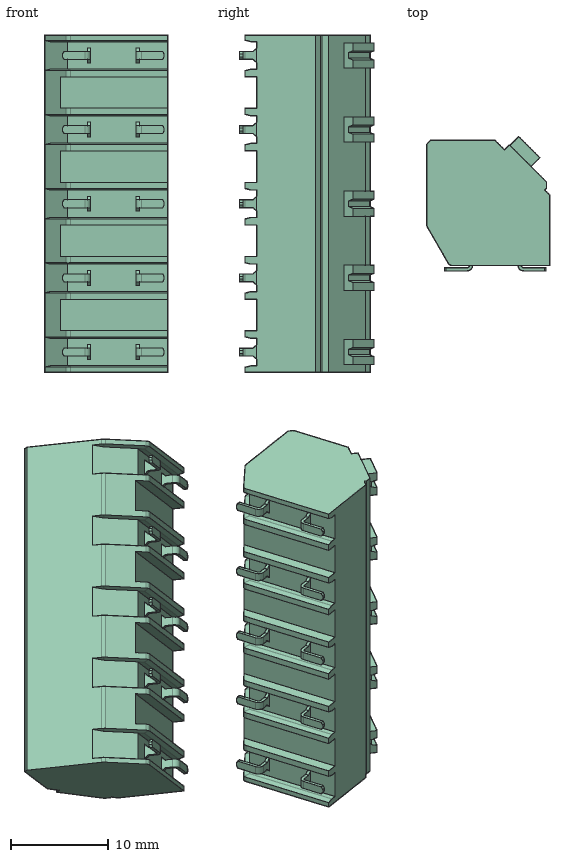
import cadquery as cq
import math

width = 12.7
depth = 12.9
height = 34.68
back_chamfer_x = 0.4
back_chamfer_y = 0.4
slant_angle = math.radians(60)
slant_start_y = 4.1
slant_end_x = slant_start_y / math.tan(slant_angle)
side_corner_radius = 0.85
mounting_corner_radius = 0.52

face_sum = 20.95
back_edge_x = 7.05
v_notch_x = 8.0
v_notch_y = depth - (v_notch_x - back_edge_x)
face_start_x = (face_sum + v_notch_x - v_notch_y) / 2
lip_x = 12.35
lip_bottom_y = 7.95
lip_undercut = 0.17

pole_count = 5
pole_pitch = 7.63
first_pole_z = (height - pole_pitch * (pole_count - 1)) / 2

floor_y = 1.2
pocket_top_y = 5.3
pocket_corner_x = (pocket_top_y - floor_y) / math.tan(slant_angle)
pocket_height = 3.12
lead_in = 0.155
lead_in_depth = (pocket_top_y - slant_start_y) * math.cos(slant_angle)
slot_height = 3.23
margin = 0.7

pin_thickness = 0.35
pin_width = 0.83
pin_root_width = 1.53
pin_root_taper = 0.38
pin_bottom_y = -0.55
pin_bend_radius = 0.25
pin_center_x = 7.07
pin_inner_offset = 2.32
pin_tip_offset = 5.25
pin_tip_chamfer_x = 0.17
pin_tip_chamfer_z = 0.28
pin_embed = 0.35

button_start_x = 8.55
button_length = 3.1
button_rise = 1.3
button_height = 2.6
button_embed = 0.35
groove_mouth = 0.95
groove_floor = 0.55
groove_depth = 0.62


def make_housing():
    outline = [
        (0, slant_start_y),
        (slant_end_x, 0),
        (width, 0),
        (width, lip_bottom_y - 2 * lip_undercut - (width - lip_x)),
        (lip_x - lip_undercut, lip_bottom_y - lip_undercut),
        (lip_x, lip_bottom_y),
        (lip_x, face_sum - lip_x),
        (face_start_x, face_sum - face_start_x),
        (v_notch_x, v_notch_y),
        (back_edge_x, depth),
        (back_chamfer_x, depth),
        (0, depth - back_chamfer_y),
    ]
    body = cq.Workplane("XY").polyline(outline).close().extrude(height)
    body = body.edges(cq.NearestToPointSelector((0, slant_start_y, height / 2))).fillet(side_corner_radius)
    return body.edges(cq.NearestToPointSelector((slant_end_x, 0, height / 2))).fillet(mounting_corner_radius)


def make_pocket():
    """Cutter for one pin pocket, centred on Z = 0, with bevelled mouths at both ends."""
    right = width + margin
    section = [
        (0, pocket_top_y),
        (pocket_corner_x, floor_y),
        (right, floor_y),
        (right, -margin),
        (-margin, -margin),
        (-margin, pocket_top_y),
    ]
    mouth = [(0, pocket_top_y), (0, slant_start_y), (slant_end_x, 0), (right, 0), (right, pocket_top_y)]
    throat = [
        (lead_in_depth, pocket_top_y),
        (lead_in_depth, pocket_top_y - lead_in_depth * math.tan(slant_angle)),
        ((pocket_top_y - lead_in_depth) / math.tan(slant_angle), lead_in_depth),
        (right, lead_in_depth),
        (right, pocket_top_y),
    ]
    half_height = pocket_height / 2
    pocket = cq.Workplane("XY").workplane(offset=-half_height).polyline(section).close().extrude(pocket_height)
    cheek = (
        cq.Workplane("XY")
        .workplane(offset=-half_height)
        .polyline(mouth)
        .close()
        .workplane(offset=lead_in)
        .polyline(throat)
        .close()
        .loft(ruled=True)
    )
    return pocket.cut(cheek).cut(cheek.mirror("XY"))


def make_slot():
    """Cutter for the relief slot between two poles, centred on Z = 0."""
    return cq.Workplane("XY").box(
        width + 2 * margin, floor_y + margin, slot_height, centered=(False, False, True)
    ).translate((-margin, -margin, 0))


def make_pin():
    """Right-hand pin of a pole at Z = 0: a flared root, a right-angle bend and a foot towards +X."""
    inner_x = pin_center_x + pin_inner_offset
    tip_x = pin_center_x + pin_tip_offset
    outer_radius = pin_bend_radius + pin_thickness
    bend_x = inner_x + outer_radius
    bend_y = pin_bottom_y + outer_radius
    root_y = floor_y + pin_embed
    diagonal = math.sqrt(0.5)
    profile = (
        cq.Workplane("XY")
        .moveTo(inner_x, root_y)
        .lineTo(inner_x, bend_y)
        .threePointArc(
            (bend_x - outer_radius * diagonal, bend_y - outer_radius * diagonal),
            (bend_x, pin_bottom_y),
        )
        .lineTo(tip_x, pin_bottom_y)
        .lineTo(tip_x, pin_bottom_y + pin_thickness)
        .lineTo(bend_x, pin_bottom_y + pin_thickness)
        .threePointArc(
            (bend_x - pin_bend_radius * diagonal, bend_y - pin_bend_radius * diagonal),
            (inner_x + pin_thickness, bend_y),
        )
        .lineTo(inner_x + pin_thickness, root_y)
        .close()
    )
    strip = profile.extrude(pin_width / 2, both=True)

    half = pin_width / 2
    tip_half = half - pin_tip_chamfer_z
    plan = [
        (inner_x, -half),
        (tip_x - pin_tip_chamfer_x, -half),
        (tip_x, -tip_half),
        (tip_x, tip_half),
        (tip_x - pin_tip_chamfer_x, half),
        (inner_x, half),
    ]
    pin_length = root_y - pin_bottom_y
    envelope = cq.Workplane("XZ", origin=(0, root_y, 0)).polyline(plan).close().extrude(pin_length)

    root_half = pin_root_width / 2
    flare = [
        (root_y, -root_half),
        (floor_y, -root_half),
        (floor_y - pin_root_taper, -half),
        (floor_y - pin_root_taper, half),
        (floor_y, root_half),
        (root_y, root_half),
    ]
    root = cq.Workplane("YZ", origin=(inner_x, 0, 0)).polyline(flare).close().extrude(pin_thickness)
    return strip.intersect(envelope).union(root)


def make_button():
    """Push button of a pole at Z = 0, with a tapered groove along its top."""
    face = cq.Plane(
        origin=(button_start_x, face_sum - button_start_x, 0), xDir=(1, -1, 0), normal=(1, 1, 0)
    )
    block = (
        cq.Workplane(face)
        .workplane(offset=-button_embed)
        .center(button_length / 2, 0)
        .rect(button_length, button_height)
        .extrude(button_embed + button_rise)
    )
    groove_end = cq.Plane(origin=face.origin, xDir=(0, 0, -1), normal=(1, -1, 0))
    bottom = button_rise - groove_depth
    groove = (
        cq.Workplane(groove_end)
        .polyline([
            (-groove_mouth / 2, button_rise),
            (groove_mouth / 2, button_rise),
            (groove_floor / 2, bottom),
            (-groove_floor / 2, bottom),
        ])
        .close()
        .extrude(button_length)
    )
    return block.cut(groove)


pocket = make_pocket()
slot = make_slot()
right_pin = make_pin()
left_pin = right_pin.mirror("YZ", (pin_center_x, 0, 0))
button = make_button()

result = make_housing()
for pole in range(pole_count):
    pole_z = first_pole_z + pole * pole_pitch
    result = result.cut(pocket.translate((0, 0, pole_z)))
    if pole < pole_count - 1:
        result = result.cut(slot.translate((0, 0, pole_z + pole_pitch / 2)))
    for addition in (left_pin, right_pin, button):
        result = result.union(addition.translate((0, 0, pole_z)))